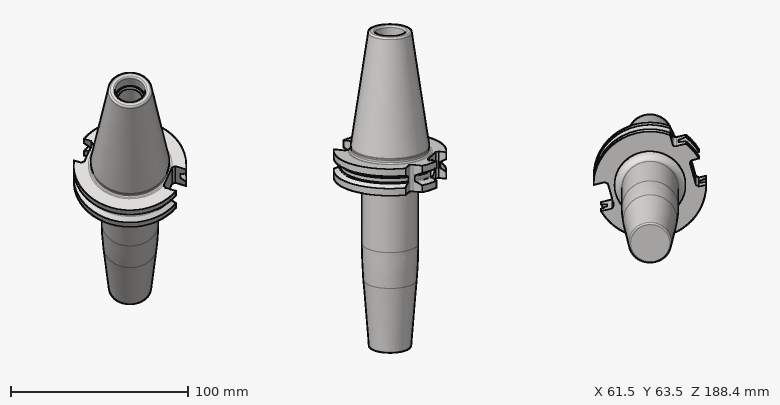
import cadquery as cq
import math


gauge_radius = 44.45 / 2
taper_length = 68.4
taper_half_slope = 7 / 24 / 2
taper_end_radius = gauge_radius - taper_length * taper_half_slope
end_edge_radius = 1.2

gauge_land = 0.4
neck_radius = 21.95
neck_top = -1.4
undercut_fillet_radius = 0.7
undercut_depth = 0.15
undercut_outer_radius = 23.6

flange_radius = 63.55 / 2
flange_top = -3.2
flange_bottom = -19.1
groove_center = (flange_top + flange_bottom) / 2
groove_floor_radius = 28.3
groove_mouth_half_width = 3.7
groove_root_radius = 0.8
groove_flank_angle = math.radians(30)
groove_flank_rise = (flange_radius - groove_floor_radius) * math.tan(groove_flank_angle)
groove_floor_half_width = groove_mouth_half_width - groove_flank_rise
groove_root_tangent = groove_root_radius * math.tan((math.pi / 2 - groove_flank_angle) / 2)

nose_end = -120.0
nose_end_radius = 12.0
nose_edge_radius = 1.0
nose_half_angle = math.radians(4.5)
nose_cone_top = -80.0
nose_cone_top_radius = nose_end_radius + (nose_cone_top - nose_end) * math.tan(nose_half_angle)
shank_radius = 16.0
blend_radius = (shank_radius - nose_cone_top_radius) / (1 - math.cos(nose_half_angle))
blend_top = nose_cone_top + blend_radius * math.sin(nose_half_angle)
root_fillet_radius = 5.5
root_fillet_end = -24.4
root_fillet_angle = math.asin((flange_bottom - root_fillet_end) / root_fillet_radius)

drive_slot_width = 16.1
minus_x_slot_floor = 25.0
plus_x_slot_floor = 22.8
notch_offset = 18.5
slot_corner_chamfer = 1.4
notch_corner_radius = 1.6

chip_hole_radius = 5.0
chip_hole_depth = 4.6
chip_center_hole_radius = 0.3
chip_center_hole_depth = 0.5

mouth_edge_radius = 1.0
bore_radius = 8.5
bore_depth = 8.0
thread_radius = 6.9
thread_lead_in = 1.0
thread_depth = 32.0
drill_half_angle = math.radians(60)


def fillet_point(angle):
    """Point on the root fillet, turned by angle from its tangency with the shank."""
    radius = shank_radius + root_fillet_radius * (1 - math.cos(angle))
    return (radius, root_fillet_end + root_fillet_radius * math.sin(angle))


def blend_point(angle):
    """Point on the shank-to-nose blend, turned by angle from its tangency with the shank."""
    radius = shank_radius - blend_radius * (1 - math.cos(angle))
    return (radius, blend_top - blend_radius * math.sin(angle))


def make_body():
    """Solid of revolution: taper, neck, flange, shank and nose."""
    root_floor_half_width = groove_floor_half_width - groove_root_tangent
    root_flank_half_width = groove_floor_half_width + groove_root_tangent * math.sin(groove_flank_angle)
    root_flank_radius = groove_floor_radius + groove_root_tangent * math.cos(groove_flank_angle)
    undercut_bottom = flange_top - undercut_depth
    profile = (
        cq.Workplane("XZ")
        .moveTo(0, taper_length)
        .lineTo(taper_end_radius, taper_length)
        .lineTo(gauge_radius, 0)
        .lineTo(gauge_radius, -gauge_land)
        .lineTo(neck_radius, neck_top)
        .lineTo(neck_radius, undercut_bottom + undercut_fillet_radius)
        .radiusArc((neck_radius + undercut_fillet_radius, undercut_bottom), -undercut_fillet_radius)
        .lineTo(undercut_outer_radius, flange_top)
        .lineTo(flange_radius, flange_top)
        .lineTo(flange_radius, groove_center + groove_mouth_half_width)
        .lineTo(root_flank_radius, groove_center + root_flank_half_width)
        .radiusArc((groove_floor_radius, groove_center + root_floor_half_width), -groove_root_radius)
        .lineTo(groove_floor_radius, groove_center - root_floor_half_width)
        .radiusArc((root_flank_radius, groove_center - root_flank_half_width), -groove_root_radius)
        .lineTo(flange_radius, groove_center - groove_mouth_half_width)
        .lineTo(flange_radius, flange_bottom)
        .lineTo(*fillet_point(root_fillet_angle))
        .threePointArc(fillet_point(root_fillet_angle / 2), fillet_point(0))
        .lineTo(shank_radius, blend_top)
        .threePointArc(blend_point(nose_half_angle / 2), blend_point(nose_half_angle))
        .lineTo(nose_end_radius, nose_end)
        .lineTo(0, nose_end)
        .close()
    )
    body = profile.revolve(360, (0, 0, 0), (0, 1, 0))
    rounded_end = body.faces(">Z").edges().fillet(end_edge_radius)
    return rounded_end.faces("<Z").edges().fillet(nose_edge_radius)


def make_bore():
    """Stepped pull-stud bore ending in a drill cone."""
    bore_bottom = taper_length - bore_depth
    thread_bottom = taper_length - thread_depth
    profile = (
        cq.Workplane("XZ")
        .moveTo(0, taper_length)
        .lineTo(bore_radius + mouth_edge_radius, taper_length)
        .radiusArc((bore_radius, taper_length - mouth_edge_radius), -mouth_edge_radius)
        .lineTo(bore_radius, bore_bottom)
        .lineTo(thread_radius + thread_lead_in, bore_bottom)
        .lineTo(thread_radius, bore_bottom - thread_lead_in)
        .lineTo(thread_radius, thread_bottom)
        .lineTo(0, thread_bottom - thread_radius / math.tan(drill_half_angle))
        .close()
    )
    return profile.revolve(360, (0, 0, 0), (0, 1, 0))


def flange_cutter(x_near, x_far, y_near, y_far):
    """Block through the flange height."""
    height = flange_top - flange_bottom
    return (
        cq.Workplane("XY", origin=((x_near + x_far) / 2, (y_near + y_far) / 2, flange_bottom))
        .rect(abs(x_far - x_near), abs(y_far - y_near))
        .extrude(height)
    )


def make_slots():
    """Two opposed drive slots of unequal depth and the corner notch."""
    clear = 2 * flange_radius
    half_width = drive_slot_width / 2
    minus_x_slot = flange_cutter(-minus_x_slot_floor, -clear, -half_width, half_width)
    plus_x_slot = flange_cutter(plus_x_slot_floor, clear, -half_width, half_width)
    slots = minus_x_slot.union(plus_x_slot).edges("|Z").chamfer(slot_corner_chamfer)
    notch = flange_cutter(-notch_offset, -clear, notch_offset, clear)
    return slots.union(notch.edges("|Z").fillet(notch_corner_radius))


def make_chip_hole():
    """Flat-bottomed chip hole with a pinhole at its center."""
    floor = cq.Workplane("YZ", origin=(-minus_x_slot_floor, 0, groove_center))
    hole = floor.circle(chip_hole_radius).extrude(chip_hole_depth)
    center_depth = chip_hole_depth + chip_center_hole_depth
    center_hole = floor.circle(chip_center_hole_radius).extrude(center_depth)
    return hole.union(center_hole)


result = make_body().cut(make_bore()).cut(make_slots()).cut(make_chip_hole())